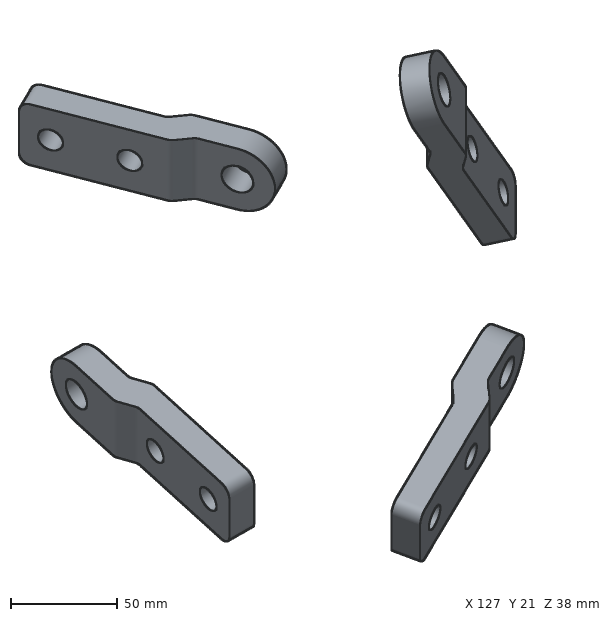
import cadquery as cq
import math

length = 127.0
height = 38.0
thickness = 15.0
offset = 6.0
depth = thickness + offset

crank_angle = math.radians(30)
front_bend_x = 76.6
back_bend_x = 68.8
bend_radius = 5.1
crank_run = offset / math.tan(crank_angle)

end_radius = height / 2
corner_radius = 6.0
mounting_hole_diameter = 12.6
mounting_hole_positions = (16.0, 56.0)
eye_diameter = 16.0
eye_x = length - end_radius


def cranked_bar():
    """Side profile of the bar, extruded over its height with rounded bends."""
    bar = (
        cq.Workplane("XY")
        .moveTo(0, 0)
        .lineTo(front_bend_x, 0)
        .lineTo(front_bend_x + crank_run, offset)
        .lineTo(length, offset)
        .lineTo(length, depth)
        .lineTo(back_bend_x + crank_run, depth)
        .lineTo(back_bend_x, thickness)
        .lineTo(0, thickness)
        .close()
        .extrude(end_radius, both=True)
    )
    return bar.edges("|Z").edges("not(<X or >X)").fillet(bend_radius)


def round_ends(bar):
    """Small corner radii at the left end and a full round at the eye end."""
    bar = bar.edges("|Y and <X").fillet(corner_radius)
    blank = (
        cq.Workplane("XZ")
        .moveTo(0, -end_radius)
        .lineTo(eye_x, -end_radius)
        .threePointArc((length, 0), (eye_x, end_radius))
        .lineTo(0, end_radius)
        .close()
        .extrude(-depth)
    )
    return bar.intersect(blank)


def through_hole(x, diameter):
    return cq.Workplane("XZ").center(x, 0).circle(diameter / 2).extrude(-depth)


result = round_ends(cranked_bar())
for hole_x in mounting_hole_positions:
    result = result.cut(through_hole(hole_x, mounting_hole_diameter))
result = result.cut(through_hole(eye_x, eye_diameter))